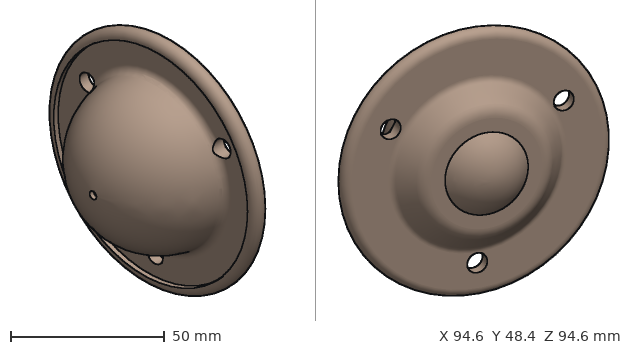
import cadquery as cq
import math


rim_radius = 47.3
rim_round = 3.2
recess_radius = 43.5
recess_floor_y = -1.1

dome_radius = 31.5
dome_tip_y = -30.44
dome_fillet = 3.0
drain_diameter = 3.0
drain_depth = 2.0

collar_face_y = 11.2
collar_face_radius = 22.05
collar_angle = 45.0
collar_edge_round = 6.0
collar_fillet = 3.0

ball_radius = 19.05
ball_tip_y = 18.0

mount_diameter = 7.0
mount_circle_radius = 35.1
mount_count = 3
first_mount_angle = -90.0

dome_centre_y = dome_tip_y + dome_radius
ball_centre_y = ball_tip_y - ball_radius
half_angle = math.radians(collar_angle)
collar_height = collar_face_y - rim_round
collar_base_radius = collar_face_radius + collar_height * math.tan(half_angle)


def revolve_about_y(profile):
    """Turn a closed XY profile fully around the Y axis."""
    return profile.revolve(360, (0, 0, 0), (0, 1, 0))


def cylinder_along_y(radius, x, z, y_start, y_end):
    """Cylinder parallel to Y between two Y positions."""
    base = cq.Vector(x, y_start, z)
    return cq.Workplane(cq.Solid.makeCylinder(radius, y_end - y_start, base, cq.Vector(0, 1, 0)))


def make_body():
    """Dome, recessed flange with a full-round rim, and conical collar."""
    fillet_y = recess_floor_y - dome_fillet
    centre_distance = dome_radius + dome_fillet
    fillet_r = math.sqrt(centre_distance**2 - (fillet_y - dome_centre_y) ** 2)
    share = dome_radius / centre_distance
    dome_end = (fillet_r * share, dome_centre_y + (fillet_y - dome_centre_y) * share)

    end_angle = math.atan2(dome_end[1] - dome_centre_y, dome_end[0])
    dome_mid_angle = (end_angle - math.pi / 2) / 2
    dome_mid = (
        dome_radius * math.cos(dome_mid_angle),
        dome_centre_y + dome_radius * math.sin(dome_mid_angle),
    )
    fillet_mid_angle = (end_angle + math.pi + math.pi / 2) / 2
    fillet_mid = (
        fillet_r + dome_fillet * math.cos(fillet_mid_angle),
        fillet_y + dome_fillet * math.sin(fillet_mid_angle),
    )

    turn = math.pi / 2 - half_angle
    base_setback = collar_fillet * math.tan(turn / 2)
    edge_setback = collar_edge_round * math.tan(turn / 2)
    slope_r = math.sin(half_angle)
    slope_y = math.cos(half_angle)
    base_on_flange = (collar_base_radius + base_setback, rim_round)
    base_on_cone = (
        collar_base_radius - base_setback * slope_r,
        rim_round + base_setback * slope_y,
    )
    base_mid = (
        base_on_flange[0] - collar_fillet * math.sin(turn / 2),
        rim_round + collar_fillet * (1 - math.cos(turn / 2)),
    )
    edge_on_cone = (
        collar_face_radius + edge_setback * slope_r,
        collar_face_y - edge_setback * slope_y,
    )
    edge_on_face = (collar_face_radius - edge_setback, collar_face_y)
    edge_mid = (
        edge_on_face[0] + collar_edge_round * math.sin(turn / 2),
        collar_face_y - collar_edge_round * (1 - math.cos(turn / 2)),
    )

    rim_centre_radius = rim_radius - rim_round
    profile = (
        cq.Workplane("XY")
        .moveTo(0, dome_tip_y)
        .threePointArc(dome_mid, dome_end)
        .threePointArc(fillet_mid, (fillet_r, recess_floor_y))
        .lineTo(recess_radius, recess_floor_y)
        .lineTo(recess_radius, -rim_round)
        .lineTo(rim_centre_radius, -rim_round)
        .threePointArc((rim_radius, 0), (rim_centre_radius, rim_round))
        .lineTo(*base_on_flange)
        .threePointArc(base_mid, base_on_cone)
        .lineTo(*edge_on_cone)
        .threePointArc(edge_mid, edge_on_face)
        .lineTo(0, collar_face_y)
        .close()
    )
    return revolve_about_y(profile)


def make_ball():
    """Ball seated in the cup."""
    profile = (
        cq.Workplane("XY")
        .moveTo(0, ball_centre_y - ball_radius)
        .threePointArc((ball_radius, ball_centre_y), (0, ball_tip_y))
        .close()
    )
    return revolve_about_y(profile)


def cut_mount_holes(body):
    """Through holes in the flange, evenly spaced around the axis."""
    for index in range(mount_count):
        angle = math.radians(first_mount_angle + index * 360 / mount_count)
        x = mount_circle_radius * math.cos(angle)
        z = mount_circle_radius * math.sin(angle)
        body = body.cut(cylinder_along_y(mount_diameter / 2, x, z, dome_tip_y, ball_tip_y))
    return body


def cut_drain_hole(body):
    """Blind drain hole at the tip of the dome."""
    return body.cut(cylinder_along_y(drain_diameter / 2, 0, 0, dome_tip_y, dome_tip_y + drain_depth))


result = cut_drain_hole(cut_mount_holes(make_body().union(make_ball())))